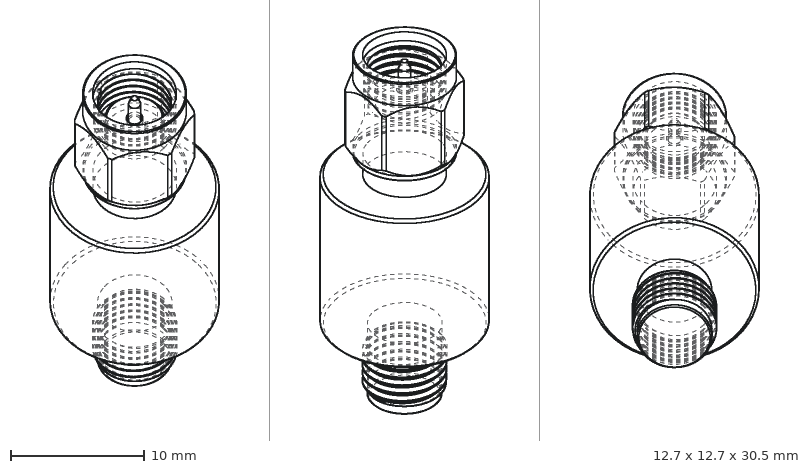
import cadquery as cq
import math

total_height = 30.48
body_bottom = 6.43
body_top = 19.75
nut_bottom = 21.67
hex_bottom = 22.13
hex_top = 28.47

body_radius = 6.355
body_chamfer = 0.25

neck_radius = 3.15
collar_radius = 3.9
collar_chamfer = 0.1
hex_across_flats = 8.0
hex_corner_radius = 4.5
hex_bevel_height = 0.73

socket_radius = 3.15
socket_depth = 0.8
socket_floor = 26.2
socket_thread_minor_radius = 2.77
socket_thread_root_radius = 3.1
socket_groove_mouth = 0.65
socket_groove_root = 0.15
socket_thread_start = 26.85
socket_thread_turns = 3.5

plug_radius = 2.23
plug_chamfer = 0.12
plug_top = 27.68
pin_radius = 0.45
pin_tip_radius = 0.25
pin_tip_length = 0.65
pin_top = 29.93
pin_clearance_radius = 0.6
pin_clearance_depth = 0.3

shank_radius = 2.8
shank_chamfer = 0.12
shank_thread_radius = 3.17
shank_thread_bottom = 0.85
shank_thread_top = 4.6
shank_ridge_base = 0.6
shank_ridge_crest = 0.12
shank_thread_start = 0.3
shank_thread_turns = 7
shank_thread_end_bevel = 0.3
shank_trim_margin = 0.1

thread_pitch = 0.705
thread_overlap = 0.05
flank_angle = math.radians(30)


def cylinder(radius, bottom, top):
    return cq.Workplane("XY").workplane(offset=bottom).circle(radius).extrude(top - bottom)


def helical_bar(inner_radius, outer_radius, inner_width, outer_width, start, turns):
    """Right-handed bar of trapezoidal section, wound around Z from the +X side."""
    path = cq.Wire.makeHelix(thread_pitch, thread_pitch * turns, inner_radius, cq.Vector(0, 0, start))
    section = cq.Workplane("XZ").polyline([
        (inner_radius, start - inner_width / 2),
        (outer_radius, start - outer_width / 2),
        (outer_radius, start + outer_width / 2),
        (inner_radius, start + inner_width / 2),
    ]).close()
    return section.sweep(cq.Workplane(path), isFrenet=True)


def make_body():
    return cylinder(body_radius, body_bottom, body_top).faces("<Z or >Z").chamfer(body_chamfer)


def make_nut():
    collar = cylinder(collar_radius, nut_bottom, total_height).faces("<Z or >Z").chamfer(collar_chamfer)
    blank = (
        cq.Workplane("XZ")
        .polyline([
            (0, hex_bottom),
            (collar_radius, hex_bottom),
            (hex_corner_radius, hex_bottom + hex_bevel_height),
            (hex_corner_radius, hex_top - hex_bevel_height),
            (collar_radius, hex_top),
            (0, hex_top),
        ])
        .close()
        .revolve(360, (0, 0), (0, 1))
    )
    hexagon = (
        cq.Workplane("XY")
        .workplane(offset=hex_bottom)
        .polygon(6, hex_across_flats, circumscribed=True)
        .extrude(hex_top - hex_bottom)
    )
    return collar.union(hexagon.intersect(blank))


def make_socket():
    """Space cut out of the nut: entry bore, conical lead-in, minor bore and thread groove."""
    entry_floor = total_height - socket_depth
    cone_height = (socket_radius - socket_thread_minor_radius) * math.tan(flank_angle)
    bore = (
        cq.Workplane("XZ")
        .polyline([
            (0, socket_floor),
            (socket_thread_minor_radius, socket_floor),
            (socket_thread_minor_radius, entry_floor - cone_height),
            (socket_radius, entry_floor),
            (socket_radius, total_height),
            (0, total_height),
        ])
        .close()
        .revolve(360, (0, 0), (0, 1))
    )
    groove = helical_bar(
        socket_thread_minor_radius - thread_overlap,
        socket_thread_root_radius,
        socket_groove_mouth,
        socket_groove_root,
        socket_thread_start,
        socket_thread_turns,
    )
    return bore, groove


def make_plug():
    plug = cylinder(plug_radius, socket_floor, plug_top).faces(">Z").chamfer(plug_chamfer)
    plug = plug.cut(cylinder(pin_clearance_radius, plug_top - pin_clearance_depth, plug_top))
    pin = cylinder(pin_radius, socket_floor, pin_top)
    pin = pin.faces(">Z").chamfer(pin_tip_length, pin_radius - pin_tip_radius)
    return plug.union(pin)


def make_shank():
    shank = cylinder(shank_radius, 0, body_bottom).faces("<Z").chamfer(shank_chamfer)
    ridge = helical_bar(
        shank_radius - thread_overlap,
        shank_thread_radius,
        shank_ridge_base,
        shank_ridge_crest,
        shank_thread_start,
        shank_thread_turns,
    )
    trim = cylinder(shank_thread_radius + shank_trim_margin, shank_thread_bottom, shank_thread_top)
    trim = trim.faces("<Z or >Z").chamfer(shank_thread_end_bevel)
    return shank.union(ridge.intersect(trim))


bore, groove = make_socket()
nut = make_nut().cut(bore).cut(groove)
neck = cylinder(neck_radius, body_top, nut_bottom)
result = make_body().union(neck).union(nut).union(make_plug()).union(make_shank())